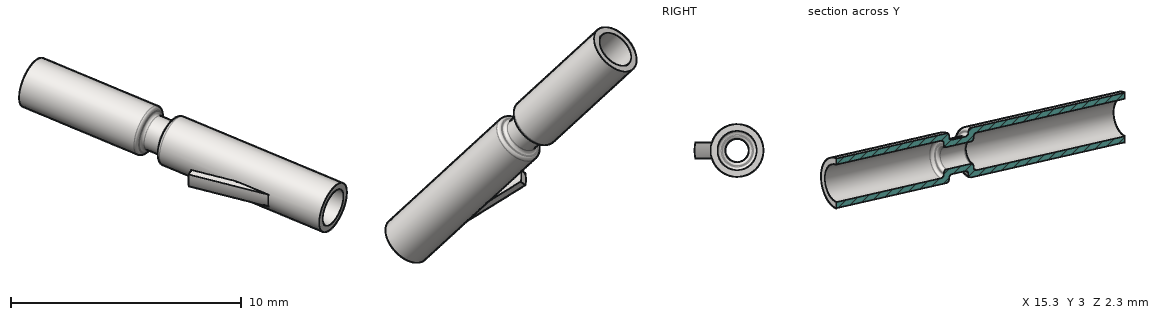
import cadquery as cq
import math

tube_length = 15.3
outer_diameter = 2.3
bore_diameter = 1.7
outer_radius = outer_diameter / 2
bore_radius = bore_diameter / 2
wall = outer_radius - bore_radius

groove_start = 6.0
groove_end = 7.0
neck_outer_radius = 1.6 / 2
neck_bore_radius = neck_outer_radius - wall
neck_fillet = 0.15

tab_root_x = 12.7
tab_length = 3.7
tab_width = 0.7
tab_tip_bore_radius = 1.2
tab_reach = 3.0 - outer_radius
tab_angle = math.degrees(math.asin((tab_reach - outer_radius) / tab_length))


def necked_rod(main_radius, neck_radius, shoulder_left, shoulder_right):
    """Round rod with a neck whose shoulders are rounded at the top and at the foot."""
    top_radius = main_radius - neck_fillet
    foot_radius = neck_radius + neck_fillet
    profile = (
        cq.Workplane("XY")
        .moveTo(0, 0)
        .lineTo(0, main_radius)
        .lineTo(shoulder_left - neck_fillet, main_radius)
        .tangentArcPoint((shoulder_left, top_radius), relative=False)
        .lineTo(shoulder_left, foot_radius)
        .tangentArcPoint((shoulder_left + neck_fillet, neck_radius), relative=False)
        .lineTo(shoulder_right - neck_fillet, neck_radius)
        .tangentArcPoint((shoulder_right, foot_radius), relative=False)
        .lineTo(shoulder_right, top_radius)
        .tangentArcPoint((shoulder_right + neck_fillet, main_radius), relative=False)
        .lineTo(tube_length, main_radius)
        .lineTo(tube_length, 0)
        .close()
    )
    return profile.revolve(360, (0, 0, 0), (1, 0, 0))


def make_tube():
    """Necked tube; the bore follows the outside at one wall thickness."""
    body = necked_rod(outer_radius, neck_outer_radius, groove_start, groove_end)
    bore = necked_rod(bore_radius, neck_bore_radius, groove_start - wall, groove_end + wall)
    return body.cut(bore)


def tab_section(x, inner_radius):
    """Curved strip of wall across X, its outer arc touching the -Y side of the tube."""
    half_width = tab_width / 2
    section_outer_radius = inner_radius + wall
    outer_rise = section_outer_radius - math.sqrt(section_outer_radius**2 - half_width**2)
    inner_rise = inner_radius - math.sqrt(inner_radius**2 - half_width**2)
    outer_y = -outer_radius
    inner_y = outer_y + wall
    sketch = (
        cq.Workplane("YZ", origin=(x, 0, 0))
        .moveTo(outer_y + outer_rise, -half_width)
        .threePointArc((outer_y, 0), (outer_y + outer_rise, half_width))
        .lineTo(inner_y + inner_rise, half_width)
        .threePointArc((inner_y, 0), (inner_y + inner_rise, -half_width))
        .close()
    )
    return sketch.wire().val()


def make_tab():
    """Strip lofted along the tube, then swung outwards about its right outer edge."""
    tip = tab_section(tab_root_x - tab_length, tab_tip_bore_radius)
    root = tab_section(tab_root_x, bore_radius)
    strip = cq.Workplane("XY").add(cq.Solid.makeLoft([tip, root], True))
    hinge = (tab_root_x, -outer_radius, 0)
    hinge_axis_end = (tab_root_x, -outer_radius, 1)
    return strip.rotate(hinge, hinge_axis_end, tab_angle)


result = make_tube().union(make_tab())